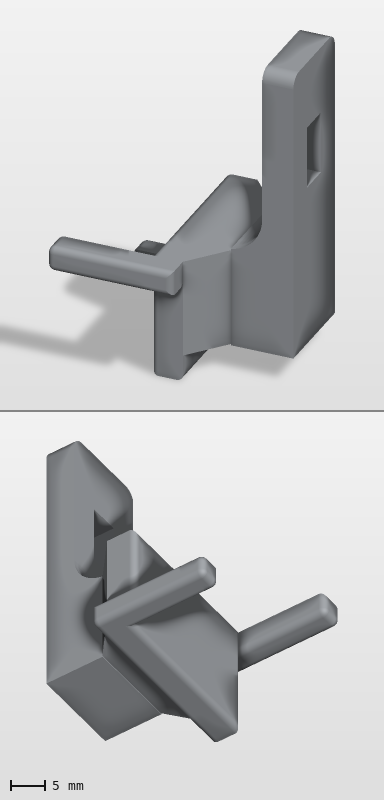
import cadquery as cq

total_length = 35.0
total_width = 35.0
total_height = 51.1

arm_size = 4.0
plate_thickness = 5.0
neck_length = 5.0
fork_height = 20.0
neck_bottom = 4.3
edge_radius = 1.0

foot_thickness = 10.0
upright_thickness = 5.0
bracket_width = 15.0
bracket_bottom = 4.1
bend_radius = 6.0
bend_top = 26.1
corner_radius = 2.0

slot_width = 5.0
slot_height = 10.0
slot_bottom = 30.2

joint_x = total_length - foot_thickness
upright_x = total_length - upright_thickness
plate_back = joint_x - neck_length
plate_front = plate_back - plate_thickness
plate_half = total_width / 2 - arm_size
bend_center_x = upright_x - bend_radius
bend_start_z = bend_top - (bend_radius**2 - (joint_x - bend_center_x) ** 2) ** 0.5
bend_mid_offset = bend_radius * 0.5**0.5


def box(x, y, z):
    """Box between the (low, high) limits on each axis."""
    return cq.Workplane("XY").box(
        x[1] - x[0], y[1] - y[0], z[1] - z[0], centered=False
    ).translate((x[0], y[0], z[0]))


def edge_near(point):
    """Selector for the edge whose middle is nearest to a point."""
    return cq.selectors.NearestToPointSelector(point)


def round_edges(body, midpoints):
    """Round together the edges that have these middles."""
    edges = [body.edges(edge_near(point)).val() for point in midpoints]
    return body.newObject(edges).fillet(edge_radius)


def make_upper_arm():
    """Arm at the -Y top corner; only its upper inner long edge stays sharp."""
    y_out = -total_width / 2
    y_in = -plate_half
    low = fork_height - arm_size
    arm = box((0, plate_back), (y_out, y_in), (low, fork_height))
    rounded_edges = arm.edges("<X or <Y").add(arm.edges(edge_near((plate_back / 2, y_in, low))))
    return rounded_edges.fillet(edge_radius)


def make_plate_with_lower_arm():
    """Plate and the arm at its +Y bottom corner, rounded as one block."""
    y_out = total_width / 2
    y_mid = (plate_half + y_out) / 2
    plate = box((plate_front, plate_back), (-plate_half, plate_half), (0, fork_height))
    arm = box((0, plate_back), (plate_half, y_out), (0, arm_size))
    block = plate.union(arm)
    midpoints = [
        (plate_front, 0, fork_height),
        (plate_front, 0, 0),
        (plate_front, -plate_half, fork_height / 2),
        (plate_front, plate_half, (fork_height + arm_size) / 2),
        (plate_back, (y_out - plate_half) / 2, 0),
        (0, y_mid, 0),
        (0, y_mid, arm_size),
        (0, plate_half, arm_size / 2),
        (0, y_out, arm_size / 2),
        (plate_back / 2, y_out, 0),
        (plate_back / 2, y_out, arm_size),
        (plate_back, y_out, arm_size / 2),
        (plate_front / 2, plate_half, 0),
    ]
    return round_edges(block, midpoints)


def make_neck():
    """Wedge narrowing from the plate to the bracket."""
    half = bracket_width / 2
    return (
        cq.Workplane("XY", origin=(0, 0, neck_bottom))
        .polyline([(plate_back, -plate_half), (joint_x, -half), (joint_x, half), (plate_back, plate_half)])
        .close()
        .extrude(fork_height - neck_bottom)
    )


def make_fork():
    return make_plate_with_lower_arm().union(make_upper_arm()).union(make_neck())


def make_bracket():
    profile = (
        cq.Workplane("XZ")
        .moveTo(joint_x, bracket_bottom)
        .lineTo(total_length, bracket_bottom)
        .lineTo(total_length, total_height)
        .lineTo(upright_x, total_height)
        .lineTo(upright_x, bend_top)
        .threePointArc(
            (bend_center_x + bend_mid_offset, bend_top - bend_mid_offset), (joint_x, bend_start_z)
        )
        .close()
    )
    body = profile.extrude(bracket_width / 2, both=True)
    body = body.faces(">Z").edges("|X").fillet(corner_radius)
    slot = box(
        (upright_x, total_length),
        (-slot_width / 2, slot_width / 2),
        (slot_bottom, slot_bottom + slot_height),
    )
    return body.cut(slot)


fork = make_fork()
bracket = make_bracket()
result = cq.Compound.makeCompound([fork.val(), bracket.val()])